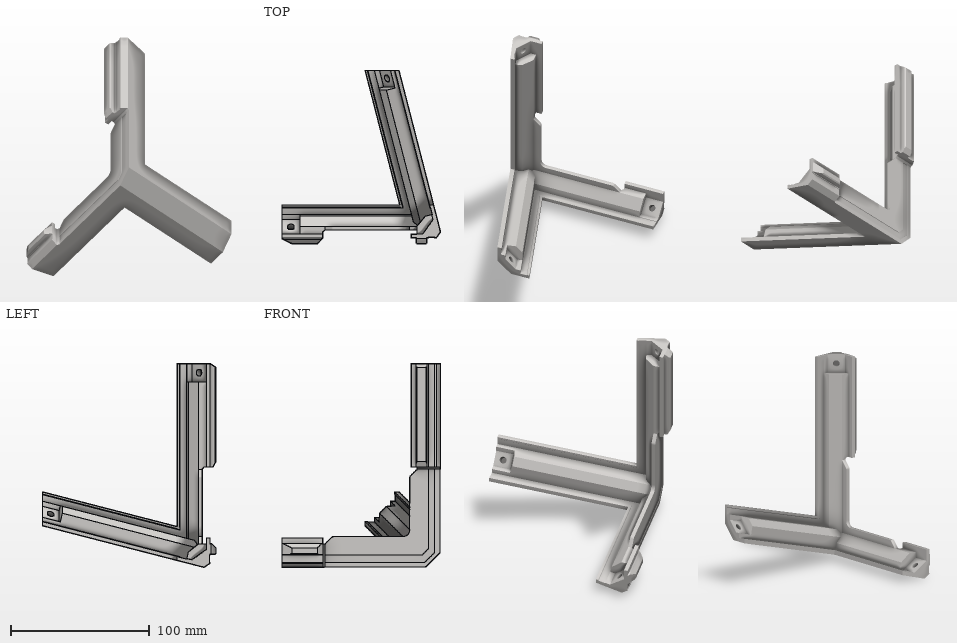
import cadquery as cq


LEAN = 0.2575
BACK = 121.0
WALL_DEPTH = 23.8
LEANING_WIDTH = 24.5
WALL = 2.8
LIP_WIDTH = 2.0
LIP_RAMP = 0.5
LIP_WALL = WALL + 0.5
EDGE_ACROSS = 4.1
EDGE_DEPTH = 4.4
CORNER_CUT = 10.3
SIDE_END = LEAN * EDGE_DEPTH + 114.5
UPRIGHT_END = LEAN * EDGE_DEPTH + 147.0

FILL_WIDTH = 18.2
FILL_TOP = (12.2, 15.7)
FILL_WALL_DEPTH = 16.9
PLATE_BACK = 8.4

PLATE_FRONT = 5.6
PLATE_WIDTH = 23.5
PLATE_FILLET = 4.4
PLATE_BEVEL = 5.5
BEVEL_ROUND = 2.2

SIDE_CLIP_START = 86.0
UPRIGHT_CLIP_START = 73.5
CLIP_BEVEL = 1.5
CLIP_BEVEL_DEPTH = 1.2
CLIP_WIDTH = 22.5
CLIP_THICK = 2.8

POCKET_WALL = WALL + 0.5
POCKET_LENGTH = 13.1
POCKET_WALL_DEPTH = 13.2
POCKET_FRONT_ACROSS = 14.1
HOLE_DIAMETER = 4.9
HOLE_DEPTH = 5.9
HOLE_RISE = 1.5
HOLE_FROM_END = 6.5

UPRIGHT_GROOVE_NEAR = 5.5
SIDE_GROOVE_NEAR = 4.7
GROOVE_FAR = 10.0
GROOVE_DEPTH = 0.5
GROOVE_NEAR_CUT = 7.2
GROOVE_FAR_CUT = 4.5

RIDGE_HEIGHT = 4.3
OVERLAP = 0.7

LEANING_FILL = 17.8
LEANING_FILL_BEVEL = 12.8
LEANING_LEDGE = 6.2
LEANING_FLOOR = 14.1
FLOOR_SETBACK = 1.0
LEANING_HOLE_FROM_END = 5.9

REACH = 176.5


def prism(points, sweep):
    """Sweep a closed 3D polygon along a vector, which may be oblique to its plane."""
    outline = cq.Wire.makePolygon([cq.Vector(*p) for p in points], close=True)
    return cq.Workplane(obj=cq.Solid.extrudeLinear(outline, [], cq.Vector(*sweep)))


def arm_prism(section, start, end, upright):
    """Sweep an (across, depth) section along one of the straight arms."""
    if upright:
        return prism([(-a, d, start) for a, d in section], (0, 0, end - start))
    return prism([(-start, d, a) for a, d in section], (start - end, 0, 0))


def side_profile_prism(profile, upright):
    """Sweep a (distance along arm, depth) profile across a straight arm."""
    if upright:
        return prism([(0, d, s) for s, d in profile], (-REACH, 0, 0))
    return prism([(-s, d, 0) for s, d in profile], (0, 0, REACH))


def front_prism(points, start_depth, end_depth):
    """Sweep an (X, Z) outline straight back between two depths."""
    return prism([(x, start_depth, z) for x, z in points], (0, end_depth - start_depth, 0))


def leaning_prism(section, start_depth, end_depth):
    """Sweep a section measured from the two inclined planes along the leaning edge."""
    shift = LEAN * start_depth
    length = end_depth - start_depth
    points = [(-p - shift, start_depth, q + shift) for p, q in section]
    return prism(points, (-LEAN * length, length, LEAN * length))


def screw_hole(center, normal):
    """Blind hole sunk into a floor whose outward normal is given."""
    outward = cq.Vector(*normal).normalized()
    bore = cq.Solid.makeCylinder(
        HOLE_DIAMETER / 2, HOLE_DEPTH + HOLE_RISE, cq.Vector(*center) + outward * HOLE_RISE, outward * -1)
    return cq.Workplane(obj=bore)


def straight_arm(end, clip_start, upright):
    def wall_inside(depth, thickness=WALL):
        return LEAN * depth + thickness

    lip_start = WALL_DEPTH - LIP_WIDTH
    section = [
        (EDGE_ACROSS, 0),
        (CLIP_WIDTH, 0),
        (CLIP_WIDTH, CLIP_THICK),
        (FILL_WIDTH, CLIP_THICK),
        (FILL_WIDTH, PLATE_BACK),
        FILL_TOP,
        (wall_inside(FILL_WALL_DEPTH), FILL_WALL_DEPTH),
        (wall_inside(lip_start), lip_start),
        (wall_inside(lip_start + LIP_RAMP, LIP_WALL), lip_start + LIP_RAMP),
        (wall_inside(WALL_DEPTH, LIP_WALL), WALL_DEPTH),
        (LEAN * WALL_DEPTH, WALL_DEPTH),
        (LEAN * EDGE_DEPTH, EDGE_DEPTH),
    ]
    arm = arm_prism(section, 0, end, upright)

    step = [
        (-REACH, -1.5),
        (clip_start, -1.5),
        (clip_start, PLATE_FRONT - CLIP_BEVEL_DEPTH),
        (clip_start - CLIP_BEVEL, PLATE_FRONT),
        (-REACH, PLATE_FRONT),
    ]
    arm = arm.cut(side_profile_prism(step, upright))

    floor_back = (wall_inside(POCKET_WALL_DEPTH, POCKET_WALL), POCKET_WALL_DEPTH)
    floor_front = (POCKET_FRONT_ACROSS, CLIP_THICK)
    pocket = [
        floor_back,
        floor_front,
        (CLIP_WIDTH, CLIP_THICK),
        (CLIP_WIDTH, FILL_WALL_DEPTH),
        (wall_inside(FILL_WALL_DEPTH, POCKET_WALL), FILL_WALL_DEPTH),
    ]
    arm = arm.cut(arm_prism(pocket, end - POCKET_LENGTH, end, upright))

    across = (floor_back[0] + floor_front[0]) / 2
    depth = (floor_back[1] + floor_front[1]) / 2
    along = end - HOLE_FROM_END
    normal_across = floor_back[1] - floor_front[1]
    normal_depth = floor_front[0] - floor_back[0]
    if upright:
        hole = screw_hole((-across, depth, along), (-normal_across, normal_depth, 0))
    else:
        hole = screw_hole((-along, depth, across), (0, normal_depth, normal_across))
    return arm.cut(hole)


def leaning_arm():
    lip_start = LEANING_WIDTH - LIP_WIDTH
    half = [
        (WALL, LEANING_FILL),
        (WALL, lip_start),
        (LIP_WALL, lip_start + LIP_RAMP),
        (LIP_WALL, LEANING_WIDTH),
        (0, LEANING_WIDTH),
    ]
    mirrored = [(q, p) for p, q in reversed(half)]
    bevel = [(LEANING_FILL, LEANING_FILL_BEVEL), (LEANING_FILL_BEVEL, LEANING_FILL)]
    section = half + [(0, 0)] + mirrored + bevel
    arm = leaning_prism(section, PLATE_FRONT, BACK)

    lip = [
        (WALL, lip_start),
        (WALL, LEANING_WIDTH),
        (LIP_WALL, LEANING_WIDTH),
        (LIP_WALL, lip_start),
    ]
    for strip in [lip, [(q, p) for p, q in lip]]:
        arm = arm.cut(leaning_prism(strip, PLATE_FRONT, WALL_DEPTH - LIP_WIDTH))

    pocket = [
        (LEANING_LEDGE, LEANING_FLOOR),
        (LEANING_FLOOR, LEANING_LEDGE),
        (LEANING_WIDTH, LEANING_LEDGE),
        (LEANING_WIDTH, LEANING_WIDTH),
        (LEANING_LEDGE, LEANING_WIDTH),
    ]
    floor = (LEANING_LEDGE + LEANING_FLOOR) / 2
    pocket_depth = BACK - POCKET_LENGTH + FLOOR_SETBACK
    pocket_across = LEAN * pocket_depth + floor
    end_plane = cq.Plane(
        origin=(-pocket_across, pocket_depth, pocket_across),
        xDir=(1, 0, 1), normal=(-LEAN, 1, LEAN))
    beyond_pocket_end = cq.Workplane(end_plane).rect(REACH, REACH).extrude(REACH)
    arm = arm.cut(leaning_prism(pocket, PLATE_FRONT, BACK).intersect(beyond_pocket_end))

    hole_depth = BACK - LEANING_HOLE_FROM_END
    hole_across = LEAN * hole_depth + floor
    return arm.cut(screw_hole((-hole_across, hole_depth, hole_across), (-1, 0, 1)))


def lip_crossing():
    """The space inside the leaning walls, where the lips of the straight arms must not cross."""
    far = LEANING_WIDTH - LIP_WIDTH
    return leaning_prism([(WALL, WALL), (far, WALL), (far, far), (WALL, far)], FILL_WALL_DEPTH, BACK)


def front_plate():
    inside = PLATE_WIDTH
    notch = PLATE_WIDTH - PLATE_BEVEL
    side_end = SIDE_CLIP_START - CLIP_BEVEL
    upright_end = UPRIGHT_CLIP_START - CLIP_BEVEL
    outline = [
        (0, 0),
        (-side_end, 0),
        (-side_end, notch),
        (-side_end + PLATE_BEVEL, inside),
        (-inside, inside),
        (-inside, upright_end - PLATE_BEVEL),
        (-notch, upright_end),
        (0, upright_end),
    ]
    plate = front_prism(outline, PLATE_FRONT, PLATE_BACK)
    middle = (PLATE_FRONT + PLATE_BACK) / 2

    def edge_at(x, z):
        return cq.selectors.NearestToPointSelector((x, middle, z))

    plate = plate.edges("|Y").edges(edge_at(-inside, inside)).fillet(PLATE_FILLET)
    for x, z in [outline[3], outline[5]]:
        plate = plate.edges("|Y").edges(edge_at(x, z)).fillet(BEVEL_ROUND)
    return plate


def ridge(section, profile, end, clip_start, upright):
    """A bar with the given cross-section whose ends slope as in the lengthwise profile."""
    bar = arm_prism(section, clip_start, end, upright)
    return bar.intersect(side_profile_prism(profile, upright))


def upright_ridge():
    near, far, bevel = 11.0, 18.8, 0.7
    top_height, top_run = 0.3, 2.6
    low_height, low_run = 2.0, 4.1
    section = [
        (near, OVERLAP),
        (near, bevel - RIDGE_HEIGHT),
        (near + bevel, -RIDGE_HEIGHT),
        (far - bevel, -RIDGE_HEIGHT),
        (far, bevel - RIDGE_HEIGHT),
        (far, OVERLAP),
    ]
    profile = [
        (UPRIGHT_END, OVERLAP),
        (UPRIGHT_END, -top_height),
        (UPRIGHT_END - top_run, -RIDGE_HEIGHT),
        (UPRIGHT_CLIP_START + low_run, -RIDGE_HEIGHT),
        (UPRIGHT_CLIP_START, -low_height),
        (UPRIGHT_CLIP_START, OVERLAP),
    ]
    return ridge(section, profile, UPRIGHT_END, UPRIGHT_CLIP_START, True)


def side_ridge():
    near, near_flat, far_flat, far = 10.6, 11.3, 15.1, 18.4
    far_height = 1.0
    end_height, end_run = 0.6, 7.2
    start_run = 4.1
    section = [
        (near, OVERLAP),
        (near, near_flat - near - RIDGE_HEIGHT),
        (near_flat, -RIDGE_HEIGHT),
        (far_flat, -RIDGE_HEIGHT),
        (far, -far_height),
        (far, OVERLAP),
    ]
    profile = [
        (SIDE_END, OVERLAP),
        (SIDE_END, -end_height),
        (SIDE_END - end_run, -RIDGE_HEIGHT),
        (SIDE_CLIP_START + start_run, -RIDGE_HEIGHT),
        (SIDE_CLIP_START, 0),
        (SIDE_CLIP_START, OVERLAP),
    ]
    return ridge(section, profile, SIDE_END, SIDE_CLIP_START, False)


def groove(front, side_end, upright_end):
    """L-shaped shallow groove with a bevelled corner, cut into a face at the given depth."""
    side_near, upright_near, far = SIDE_GROOVE_NEAR, UPRIGHT_GROOVE_NEAR, GROOVE_FAR
    outline = [
        (-side_end, side_near),
        (-upright_near - GROOVE_NEAR_CUT, side_near),
        (-upright_near, side_near + GROOVE_NEAR_CUT),
        (-upright_near, upright_end),
        (-far, upright_end),
        (-far, far + GROOVE_FAR_CUT),
        (-far - GROOVE_FAR_CUT, far),
        (-side_end, far),
    ]
    return front_prism(outline, front, front + GROOVE_DEPTH)


envelope = leaning_prism(
    [(0, CORNER_CUT), (CORNER_CUT, 0), (REACH, 0), (REACH, REACH), (0, REACH)],
    -RIDGE_HEIGHT, BACK)

result = (
    straight_arm(SIDE_END, SIDE_CLIP_START, False)
    .union(straight_arm(UPRIGHT_END, UPRIGHT_CLIP_START, True))
    .cut(lip_crossing())
    .union(leaning_arm())
    .union(front_plate())
    .intersect(envelope)
    .cut(groove(PLATE_FRONT, SIDE_CLIP_START - CLIP_BEVEL, UPRIGHT_CLIP_START - CLIP_BEVEL))
    .cut(groove(0, SIDE_END, UPRIGHT_END))
    .union(upright_ridge())
    .union(side_ridge())
)